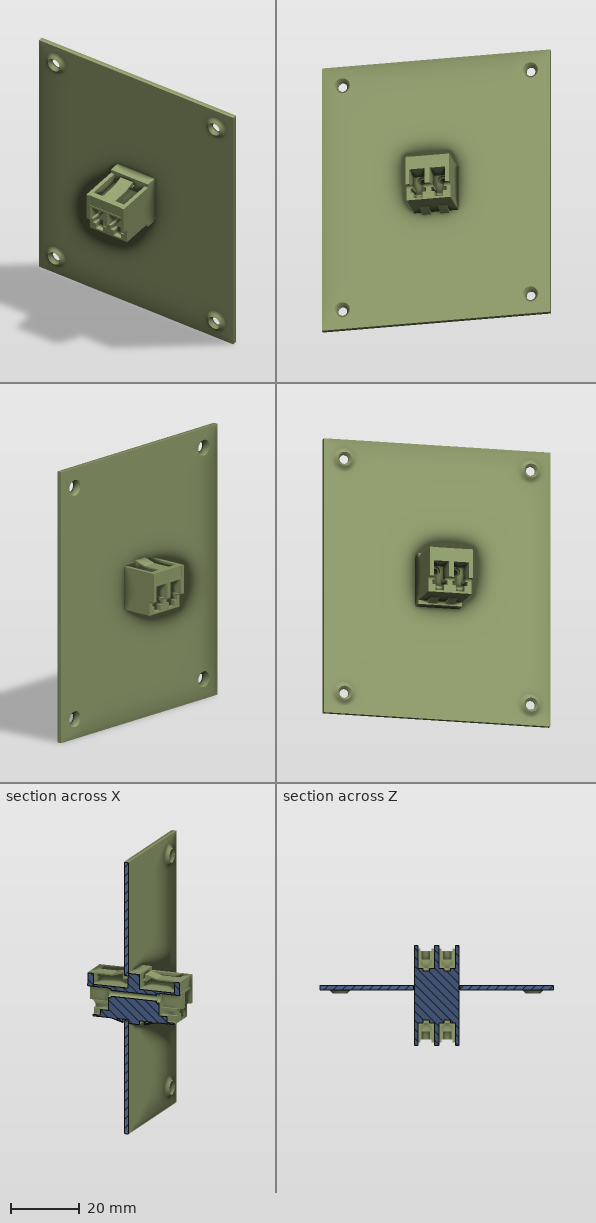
import cadquery as cq

panel_width = 68.1
panel_height = 82.0
panel_thickness = 1.5

seat_inset = 6.0
seat_height = 1.1
seat_base_radius = 3.5
seat_cone_radius = 2.8
seat_foot_height = 0.3
foot_sag = 0.3
seat_rim_radius = 2.05
screw_hole_radius = 1.3
back_sink_radius = 2.4
back_sink_depth = 1.3

opening_size = 13.45

connector_width = 13.05
connector_height = 13.0
connector_length = 29.2
middle_y = -1.55
half_length = connector_length / 2
flange_height = 15.3
flange_front = 1.9
flange_back = middle_y

notch_depth = 1.7
notch_top_z = -2.1
notch_fillet = 0.8

label_width = 11.2
label_height = 3.45
label_depth = 0.2

port_pitch = 6.1
port_width = 4.6
port_top_z = 2.5
port_bottom_z = -4.2
port_depth = 6.6
rib_width = 0.65
rib_height = 0.8
slot_width = 2.55
slot_pitch = 6.2
slot_bottom_z = -5.9
slot_depth = 4.1

bore_z = 1.0
bore_radius = 0.8
bore_mouth_radius = 1.3
bore_mouth_depth = 0.8

pocket_width = 10.7
pocket_depth = 3.3
pocket_end_wall = 2.0

latch_thickness = 0.4
latch_rise = 1.1
latch_foot_tip = 2.5
latch_foot_drop = 0.65
latch_hook = 3.3
latch_ramp_start = 7.05
top_latch_width = 4.3
bottom_latch_width = 2.6
bottom_latch_pitch = 5.4

port_centers = (-port_pitch / 2, port_pitch / 2)
slot_centers = (-slot_pitch / 2, slot_pitch / 2)


def block(x_center, width, near, far, bottom, top):
    """Box from distance near to far in front of the middle plane, between two heights."""
    return (
        cq.Workplane("XY")
        .box(width, far - near, top - bottom, centered=(True, False, False))
        .translate((x_center, -far, bottom))
    )


def screw_seat(x, z):
    """Raised ring with a concave foot, a sharp rim and a conical sink, standing on the panel's front face."""
    foot_width = seat_base_radius - seat_cone_radius
    profile = (
        cq.Workplane("XY")
        .moveTo(screw_hole_radius, 0)
        .lineTo(seat_base_radius, 0)
        .threePointArc(
            (seat_cone_radius + foot_width / 2, foot_sag * seat_foot_height),
            (seat_cone_radius, seat_foot_height),
        )
        .lineTo(seat_rim_radius, seat_height)
        .close()
    )
    ring = profile.revolve(360, (0, 0, 0), (0, 1, 0))
    return ring.rotate((0, 0, 0), (0, 0, 1), 180).translate((x, 0, z))


def screw_hole(x, z):
    """Through hole that flares toward the panel's back face."""
    return (
        cq.Workplane("XY")
        .lineTo(screw_hole_radius, 0)
        .lineTo(screw_hole_radius, panel_thickness - back_sink_depth)
        .lineTo(back_sink_radius, panel_thickness)
        .lineTo(0, panel_thickness)
        .close()
        .revolve(360, (0, 0, 0), (0, 1, 0))
        .translate((x, 0, z))
    )


def make_panel():
    panel = (
        cq.Workplane("XY")
        .box(panel_width, panel_thickness, panel_height)
        .translate((0, panel_thickness / 2, 0))
    )
    opening = (
        cq.Workplane("XY")
        .box(opening_size, panel_thickness, opening_size)
        .translate((0, panel_thickness / 2, 0))
    )
    panel = panel.cut(opening)
    seat_x = panel_width / 2 - seat_inset
    seat_z = panel_height / 2 - seat_inset
    for x in (-seat_x, seat_x):
        for z in (-seat_z, seat_z):
            hole = screw_hole(x, z)
            panel = panel.cut(hole).union(screw_seat(x, z))
    return panel


def port_cutter(x):
    """Wire port with a rib left on each side wall."""
    port = block(x, port_width, half_length - port_depth, half_length, port_bottom_z, port_top_z)
    for side in (-1, 1):
        rib = block(
            x + side * (port_width - rib_width) / 2,
            rib_width,
            half_length - port_depth,
            half_length,
            notch_top_z - rib_height,
            notch_top_z,
        )
        port = port.cut(rib)
    return port


def slot_cutter(x):
    """Slot that lowers the floor of a wire port at its mouth."""
    return block(x, slot_width, half_length - slot_depth, half_length, slot_bottom_z, port_bottom_z)


def bore_cutter(x):
    """Bore from the middle plane into a port, with a wider mouth at the port's floor."""
    port_end = half_length - port_depth
    return (
        cq.Workplane("XY")
        .lineTo(bore_radius, 0)
        .lineTo(bore_radius, port_end - bore_mouth_depth)
        .lineTo(bore_mouth_radius, port_end - bore_mouth_depth)
        .lineTo(bore_mouth_radius, port_end)
        .lineTo(0, port_end)
        .close()
        .revolve(360, (0, 0, 0), (0, 1, 0))
        .rotate((0, 0, 0), (0, 0, 1), 180)
        .translate((x, 0, bore_z))
    )


def notch_cutter():
    """Cutter for the end notch; its inner upper edge is round."""
    notch = block(
        0, connector_width, half_length - notch_depth, half_length, -connector_height / 2, notch_top_z
    )
    return notch.edges("|X and >Y and >Z").fillet(notch_fillet)


def latch(x, width):
    """Spring strip level with the top face that ramps up to a hook, drops and ends in a flat foot."""
    face_z = connector_height / 2
    hook_z = face_z + latch_rise
    foot_z = face_z - latch_foot_drop
    root = half_length - pocket_end_wall
    leg_back = latch_hook + latch_thickness
    slope = latch_rise / (latch_ramp_start - latch_hook)
    points = [
        (-root, face_z),
        (-latch_ramp_start, face_z),
        (-latch_hook, hook_z),
        (-latch_hook, foot_z),
        (-latch_foot_tip, foot_z),
        (-latch_foot_tip, foot_z - latch_thickness),
        (-leg_back, foot_z - latch_thickness),
        (-leg_back, hook_z - slope * latch_thickness - latch_thickness),
        (-latch_ramp_start, face_z - latch_thickness),
        (-root, face_z - latch_thickness),
    ]
    strip = cq.Workplane("YZ").polyline(points).close().extrude(width / 2, both=True)
    return strip.translate((x, 0, 0))


def make_half():
    """Front half of the connector, without flange, from the middle plane to its end face at -Y."""
    top = connector_height / 2
    half = block(0, connector_width, 0, half_length, -top, top)
    half = half.cut(
        block(0, pocket_width, flange_front, half_length - pocket_end_wall, top - pocket_depth, top)
    )
    half = half.cut(
        block(0, label_width, half_length - label_depth, half_length, top - label_height, top)
    )
    for x in port_centers:
        half = half.cut(port_cutter(x)).cut(bore_cutter(x))
    for x in slot_centers:
        half = half.cut(slot_cutter(x))
    half = half.cut(notch_cutter())
    half = half.union(latch(0, top_latch_width))
    for x in (-bottom_latch_pitch / 2, bottom_latch_pitch / 2):
        bottom_latch = latch(x, bottom_latch_width).mirror("XY")
        half = half.union(bottom_latch)
    return half


def make_connector():
    front_half = make_half()
    rear_half = front_half.mirror("XZ")
    flange = block(0, connector_width, flange_back, flange_front, -flange_height / 2, flange_height / 2)
    for x in port_centers:
        flange = flange.cut(bore_cutter(x)).cut(bore_cutter(x).mirror("XZ"))
    connector = front_half.union(rear_half).union(flange)
    return connector.translate((0, middle_y, 0))


panel = make_panel()
connector = make_connector()

result = cq.Compound.makeCompound([panel.solids().val(), connector.solids().val()])